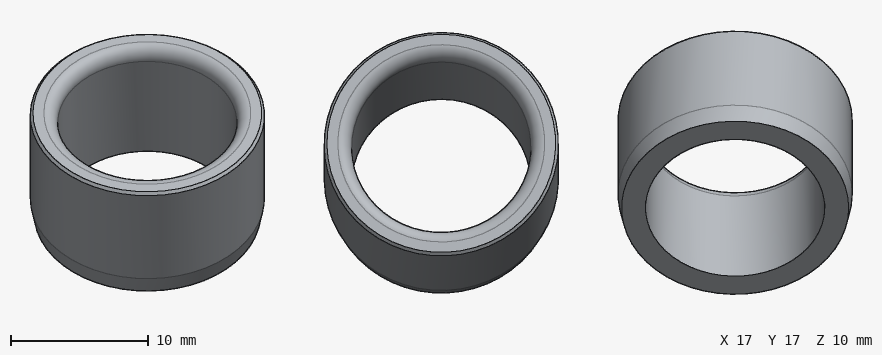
import cadquery as cq
import math

outer_diameter = 17.0
height = 10.0
bore_diameter = 13.0

mouth_radius = 1.0
rim_chamfer = 0.2
lead_in_height = 1.5
lead_in_angle = 10.0

outer_radius = outer_diameter / 2
bore_radius = bore_diameter / 2
lead_in_radius = outer_radius - lead_in_height * math.tan(math.radians(lead_in_angle))

arc_inset = mouth_radius * (1 - math.sqrt(0.5))

half_section = (
    cq.Workplane("XZ")
    .moveTo(bore_radius, 0)
    .lineTo(lead_in_radius, 0)
    .lineTo(outer_radius, lead_in_height)
    .lineTo(outer_radius, height - rim_chamfer)
    .lineTo(outer_radius - rim_chamfer, height)
    .lineTo(bore_radius + mouth_radius, height)
    .threePointArc(
        (bore_radius + arc_inset, height - arc_inset),
        (bore_radius, height - mouth_radius),
    )
    .close()
)

result = half_section.revolve(360, (0, 0), (0, 1))